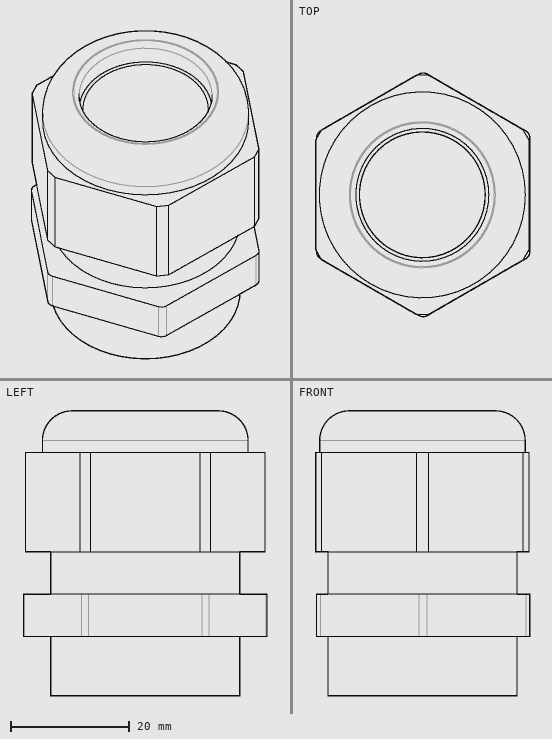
import cadquery as cq
import math

total_height = 48.1
flange_bottom = 10.0
flange_top = 17.18
nut_bottom = 24.3
nut_top = 41.1
body_top = 43.9

across_flats = 36.0
across_corners = across_flats * 2 / math.sqrt(3)

body_diameter = 31.95
body_bore_diameter = 21.15
flange_offset_x = 0.15
flange_corner_radius = 1.35

nut_corner_flat = 2.0
collar_diameter = 34.75
dome_radius = 5.05
cap_opening_diameter = 22.4
lip_radius = 0.9


def hexagon(bottom, top, center_x=0.0):
    """Hexagonal prism with two corners on the Y axis."""
    return (
        cq.Workplane("XY", origin=(center_x, 0, bottom))
        .transformed(rotate=(0, 0, 90))
        .polygon(6, across_corners)
        .extrude(top - bottom)
    )


def cylinder(diameter, bottom, top):
    """Upright cylinder on the Z axis."""
    return cq.Workplane("XY", origin=(0, 0, bottom)).circle(diameter / 2).extrude(top - bottom)


def make_body():
    """Tube with a round-cornered flange slightly off its axis."""
    flange = hexagon(flange_bottom, flange_top, flange_offset_x)
    flange = flange.edges("|Z").fillet(flange_corner_radius)
    tube = cylinder(body_diameter, 0, body_top)
    return tube.union(flange).cut(cylinder(body_bore_diameter, 0, body_top))


def make_cap_nut():
    """Hexagonal nut with a domed collar over the end of the body."""
    corner_setback = nut_corner_flat / math.sqrt(3)
    nut = hexagon(nut_bottom, nut_top).edges("|Z").chamfer(corner_setback)

    collar = cylinder(collar_diameter, nut_bottom, total_height)
    collar = collar.faces(">Z").edges().fillet(dome_radius)
    socket = cylinder(body_diameter, nut_bottom, body_top)
    opening = cylinder(cap_opening_diameter, nut_bottom, total_height)
    cap = nut.union(collar).cut(socket).cut(opening)

    return cap.faces(">Z").edges(cq.selectors.RadiusNthSelector(0)).fillet(lip_radius)


body = make_body()
cap_nut = make_cap_nut()

result = cq.Compound.makeCompound([body.val(), cap_nut.val()])